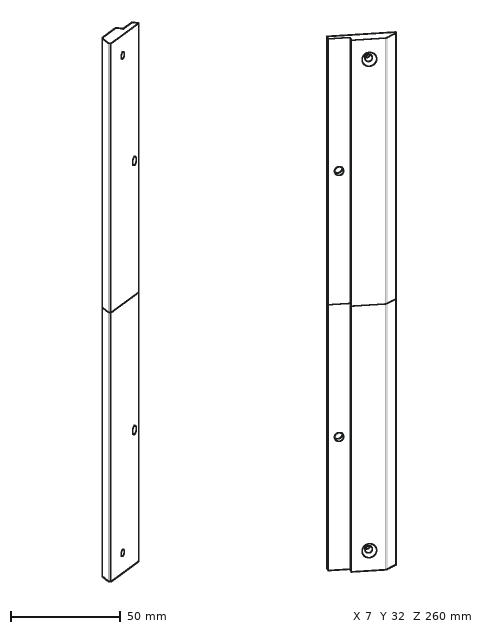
import cadquery as cq

thickness = 7.0
width = 32.0
rail_length = 260.0
bar_length = rail_length / 2

tongue_thickness = 3.5
tongue_width = 10.1
bevel_height = 5.7
nose_width = 1.3
bevel_radius = 1.0

pin_hole_diameter = 4.2
pin_hole_y = width - tongue_width / 2

screw_hole_diameter = 3.5
countersink_diameter = 6.8
countersink_angle = 90.0
screw_hole_y = 13.5
screw_end_distance = 10.0


def bar_blank(z_bottom):
    """Stepped and bevelled bar standing on the height z_bottom."""
    blank = (
        cq.Workplane("XY", origin=(0, 0, z_bottom))
        .moveTo(thickness, 0)
        .lineTo(thickness, width)
        .lineTo(thickness - tongue_thickness, width)
        .lineTo(thickness - tongue_thickness, width - tongue_width)
        .lineTo(0, width - tongue_width)
        .lineTo(0, bevel_height)
        .lineTo(thickness - nose_width, 0)
        .close()
        .extrude(bar_length)
    )
    bar_middle = z_bottom + bar_length / 2
    face_edge = cq.selectors.NearestToPointSelector((0, bevel_height, bar_middle))
    nose_edge = cq.selectors.NearestToPointSelector((thickness - nose_width, 0, bar_middle))
    return blank.edges(cq.selectors.SumSelector(face_edge, nose_edge)).fillet(bevel_radius)


def rail_bar(z_bottom, screw_z):
    """One bar with its pin hole and its countersunk screw hole, both along X."""
    pin_hole = (
        cq.Workplane("YZ")
        .center(pin_hole_y, z_bottom + bar_length / 2)
        .circle(pin_hole_diameter / 2)
        .extrude(thickness)
    )
    return (
        bar_blank(z_bottom)
        .cut(pin_hole)
        .copyWorkplane(cq.Workplane("ZY", origin=(0, screw_hole_y, screw_z)))
        .cskHole(screw_hole_diameter, countersink_diameter, countersink_angle)
    )


bar_places = [
    (0, screw_end_distance),
    (bar_length, rail_length - screw_end_distance),
]
bars = [rail_bar(z_bottom, screw_z) for z_bottom, screw_z in bar_places]

result = cq.Compound.makeCompound([bar.val() for bar in bars])